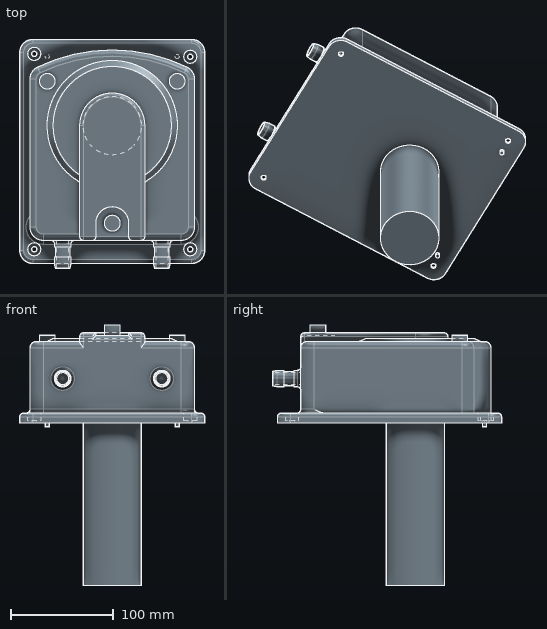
import cadquery as cq
import math


PLATE_WIDTH = 180.0
PLATE_LENGTH = 218.0
PLATE_THICKNESS = 10.0
CORNER_RADIUS = 13.0
EDGE_ROUND = 3.8
HOLE_X = 75.8
HOLE_FRONT_Y = -95.0
HOLE_BACK_LEFT_Y = 94.8
HOLE_BACK_RIGHT_Y = 92.0
HOLE_DIAMETER = 4.8
COUNTERBORE_DIAMETER = 12.7
COUNTERBORE_DEPTH = 7.0

TANK_DIAMETER = 56.8
TANK_LENGTH = 158.0
TANK_Y = 25.0

HOUSING_WIDTH = 160.0
HOUSING_FRONT_Y = -86.5
HOUSING_BACK_Y = 98.5
HOUSING_TOP_Z = 79.4
HOUSING_TOP_ROUND = 6.0
BACK_ARC_RADIUS = 166.3

DISC_BASE_RADIUS = 63.5
DISC_TOP_RADIUS = 57.5
DISC_HEIGHT = 3.0

ARM_WIDTH = 63.5
ARM_TOP_Z = 88.0

POCKET_WIDTH = 32.0
POCKET_DEPTH = 2.8
POCKET_FLARE = 3.5

KNOB_X = 63.0
KNOB_Y = 68.2
KNOB_DIAMETER = 15.2
KNOB_TOP_Z = 85.7
CENTRE_KNOB_Y = -69.7
CENTRE_KNOB_DIAMETER = 15.5
CENTRE_KNOB_TOP_Z = 95.5
PIN_Y = 92.3
PIN_DIAMETER = 4.0
PIN_LENGTH = 3.5

NOZZLE_X = 48.2
NOZZLE_Z = 43.4
BARB_RADIUS = 8.0
NECK_RADIUS = 7.0
BORE_RADIUS = 5.8
NECK_START = 6.5
NECK_END = 16.2
TAPER_START = 22.8
NOZZLE_BLEND = 3.3
NOZZLE_LENGTH = 27.0

DIAGONAL = math.sqrt(0.5)


def cylinder(x, y, bottom_z, top_z, diameter):
    """Upright cylinder between two heights."""
    return (
        cq.Workplane("XY", origin=(x, y, bottom_z))
        .circle(diameter / 2)
        .extrude(top_z - bottom_z)
    )


def make_plate():
    plate = (
        cq.Workplane("XY")
        .rect(PLATE_WIDTH, PLATE_LENGTH)
        .extrude(PLATE_THICKNESS)
        .edges("|Z").fillet(CORNER_RADIUS)
        .faces(">Z").edges().fillet(EDGE_ROUND)
    )
    hole_centres = [
        (-HOLE_X, HOLE_FRONT_Y),
        (HOLE_X, HOLE_FRONT_Y),
        (-HOLE_X, HOLE_BACK_LEFT_Y),
        (HOLE_X, HOLE_BACK_RIGHT_Y),
    ]
    return (
        plate.faces(">Z").workplane(origin=(0, 0, PLATE_THICKNESS))
        .pushPoints(hole_centres)
        .cboreHole(HOLE_DIAMETER, COUNTERBORE_DIAMETER, COUNTERBORE_DEPTH)
    )


def make_housing():
    """Box with a bowed back wall and rounded corners and top edge."""
    half_width = HOUSING_WIDTH / 2
    arc_centre_y = HOUSING_BACK_Y - BACK_ARC_RADIUS
    side_back_y = arc_centre_y + math.sqrt(BACK_ARC_RADIUS**2 - half_width**2)
    return (
        cq.Workplane("XY")
        .moveTo(-half_width, HOUSING_FRONT_Y)
        .lineTo(half_width, HOUSING_FRONT_Y)
        .lineTo(half_width, side_back_y)
        .threePointArc((0, HOUSING_BACK_Y), (-half_width, side_back_y))
        .close()
        .extrude(HOUSING_TOP_Z)
        .edges("|Z").fillet(CORNER_RADIUS)
        .faces(">Z").edges().fillet(HOUSING_TOP_ROUND)
    )


def make_foot_blend():
    """Concave blend from the plate to the front wall, ending in a full turn at each front corner."""
    corner_x = HOUSING_WIDTH / 2 - CORNER_RADIUS
    corner_y = HOUSING_FRONT_Y + CORNER_RADIUS
    outer_radius = CORNER_RADIUS + EDGE_ROUND
    arc_inset = EDGE_ROUND * (1 - DIAGONAL)

    def profile(plane):
        return (
            cq.Workplane(plane)
            .lineTo(outer_radius, 0)
            .threePointArc(
                (CORNER_RADIUS + arc_inset, arc_inset),
                (CORNER_RADIUS, EDGE_ROUND),
            )
            .lineTo(0, EDGE_ROUND)
            .close()
        )

    front_plane = cq.Plane(
        origin=(corner_x, corner_y, PLATE_THICKNESS), xDir=(0, -1, 0), normal=(-1, 0, 0)
    )
    blend = profile(front_plane).extrude(2 * corner_x)
    for side in (-1, 1):
        corner_plane = cq.Plane(
            origin=(side * corner_x, corner_y, PLATE_THICKNESS), xDir=(1, 0, 0), normal=(0, -1, 0)
        )
        blend = blend.union(profile(corner_plane).revolve(360, (0, 0, 0), (0, 1, 0)))
    return blend


def make_disc():
    """Low truncated cone on the housing top."""
    return (
        cq.Workplane("XZ", origin=(0, TANK_Y, HOUSING_TOP_Z))
        .polyline([(0, 0), (DISC_BASE_RADIUS, 0), (DISC_TOP_RADIUS, DISC_HEIGHT), (0, DISC_HEIGHT)])
        .close()
        .revolve(360, (0, 0, 0), (0, 1, 0))
    )


def make_arm():
    """Rounded arm that ends flush with the front wall, with its flared pocket."""
    bottom_z = HOUSING_TOP_Z - HOUSING_TOP_ROUND
    half_width = ARM_WIDTH / 2
    arm = (
        cq.Workplane("XY", origin=(0, 0, bottom_z))
        .moveTo(-half_width, HOUSING_FRONT_Y)
        .lineTo(half_width, HOUSING_FRONT_Y)
        .lineTo(half_width, TANK_Y)
        .threePointArc((0, TANK_Y + half_width), (-half_width, TANK_Y))
        .close()
        .extrude(ARM_TOP_Z - bottom_z)
        .edges("|Z and <Y").fillet(EDGE_ROUND)
        .faces(">Z").edges().fillet(EDGE_ROUND)
    )

    half_pocket = POCKET_WIDTH / 2
    half_mouth = half_pocket + POCKET_FLARE
    flare_y = HOUSING_FRONT_Y + POCKET_FLARE
    arc_inset = POCKET_FLARE * (1 - DIAGONAL)
    pocket = (
        cq.Workplane("XY", origin=(0, 0, bottom_z))
        .moveTo(-half_mouth, HOUSING_FRONT_Y)
        .lineTo(half_mouth, HOUSING_FRONT_Y)
        .threePointArc(
            (half_pocket + arc_inset, HOUSING_FRONT_Y + arc_inset), (half_pocket, flare_y)
        )
        .lineTo(half_pocket, CENTRE_KNOB_Y)
        .threePointArc((0, CENTRE_KNOB_Y + half_pocket), (-half_pocket, CENTRE_KNOB_Y))
        .lineTo(-half_pocket, flare_y)
        .threePointArc(
            (-half_pocket - arc_inset, HOUSING_FRONT_Y + arc_inset), (-half_mouth, HOUSING_FRONT_Y)
        )
        .close()
        .extrude(ARM_TOP_Z - bottom_z)
    )
    floor_length = CENTRE_KNOB_Y + half_pocket - HOUSING_FRONT_Y
    floor = (
        cq.Workplane("XY", origin=(0, HOUSING_FRONT_Y + floor_length / 2, bottom_z))
        .rect(2 * half_mouth, floor_length)
        .extrude(ARM_TOP_Z - POCKET_DEPTH - bottom_z)
        .edges(">Z and <Y").fillet(EDGE_ROUND)
    )
    return arm.cut(pocket).union(floor.intersect(pocket))


def make_nozzle(x):
    """Barbed hose nozzle with a concave blend at the wall and a blind bore."""
    blend_inset = NOZZLE_BLEND * (1 - DIAGONAL)
    wall_plane = cq.Plane(
        origin=(x, HOUSING_FRONT_Y, NOZZLE_Z), xDir=(1, 0, 0), normal=(0, 0, -1)
    )
    return (
        cq.Workplane(wall_plane)
        .moveTo(BORE_RADIUS, 0)
        .lineTo(BARB_RADIUS + NOZZLE_BLEND, 0)
        .threePointArc((BARB_RADIUS + blend_inset, blend_inset), (BARB_RADIUS, NOZZLE_BLEND))
        .lineTo(BARB_RADIUS, NECK_START)
        .lineTo(NECK_RADIUS, NECK_START)
        .lineTo(NECK_RADIUS, NECK_END)
        .lineTo(BARB_RADIUS, NECK_END)
        .lineTo(BARB_RADIUS, TAPER_START)
        .lineTo(NECK_RADIUS, NOZZLE_LENGTH)
        .lineTo(BORE_RADIUS, NOZZLE_LENGTH)
        .close()
        .revolve(360, (0, 0, 0), (0, 1, 0))
    )


result = (
    make_plate()
    .union(make_housing())
    .union(make_foot_blend())
    .union(make_disc())
    .union(make_arm())
    .union(cylinder(0, TANK_Y, -TANK_LENGTH, 0, TANK_DIAMETER))
    .union(cylinder(0, CENTRE_KNOB_Y, HOUSING_TOP_Z, CENTRE_KNOB_TOP_Z, CENTRE_KNOB_DIAMETER))
)
for side in (-1, 1):
    result = (
        result
        .union(cylinder(side * KNOB_X, KNOB_Y, HOUSING_TOP_Z, KNOB_TOP_Z, KNOB_DIAMETER))
        .union(cylinder(side * KNOB_X, PIN_Y, -PIN_LENGTH, 0, PIN_DIAMETER))
        .union(make_nozzle(side * NOZZLE_X))
    )